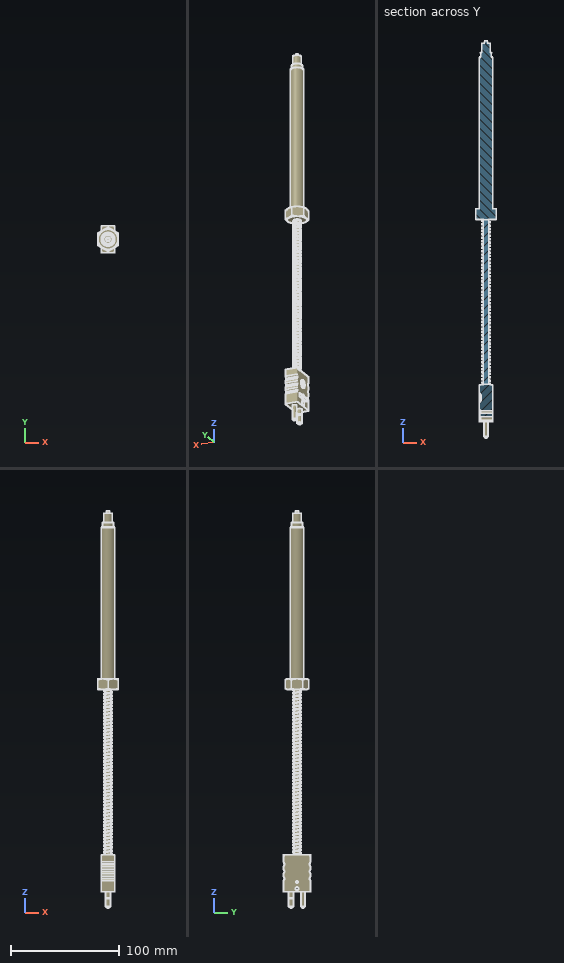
import cadquery as cq
import math


hose_length = 152.4
hose_core_radius = 2.9
hose_rib_radius = 3.97
hose_turns = 49
hose_pitch = hose_length / hose_turns
rib_width = 0.75
rib_phase = 0.47
rib_root_overlap = 0.3

nut_across_flats = 19.05
nut_height = 10.0
tube_length = 140.3
tube_radius = 6.35
collar_radius = 5.1
collar_length = 4.3
tip_radius = 4.05
tip_length = 8.4
nipple_radius = 1.9
nipple_top_radius = 1.2
nipple_length = 2.3
nut_chamfer_angle = 30
nut_rim_inset = 0.3
step_chamfer = 0.7

plug_thickness = 12.7
plug_width = 25.22
plug_height = 34.3
plug_edge_radius = 1.27
grip_count = 3
first_grip_below_top = 8.9
grip_pitch = 6.63
grip_half_height = 2.1
grip_depth = 1.0
grip_floor = 0.5

screw_depth_below_top = 12.0
screw_radius = 3.9
screw_recess = 0.8
cross_length = 5.0
cross_width = 0.6
cross_depth = 0.8

window_depth_below_top = 25.3
window_width = 15.2
window_height = 3.5
window_depth = 0.4
cone_holes = [(25.3, 2.7, 0.8), (31.4, 2.5, 1.4)]
cone_depth = 1.5

prong_spacing = 11.0
prong_length = 13.46
prong_nose_length = 1.6
prong_nose_radius = 0.5
thin_prong_radius = 2.0
thick_prong_radius = 2.4
groove_below_plug = 5.9
groove_width = 1.1
groove_radial_depth = 0.3


def make_hose():
    """Solid core with a right-handed square rib wound around it."""
    core = cq.Workplane("XY").circle(hose_core_radius).extrude(hose_length)
    inner = hose_core_radius - rib_root_overlap
    path = cq.Wire.makeHelix(hose_pitch, hose_length + 2 * hose_pitch, hose_core_radius)
    rib = (
        cq.Workplane("XZ")
        .moveTo(inner, -rib_width / 2)
        .lineTo(hose_rib_radius, -rib_width / 2)
        .lineTo(hose_rib_radius, rib_width / 2)
        .lineTo(inner, rib_width / 2)
        .close()
        .sweep(cq.Workplane(obj=path), isFrenet=True)
        .translate((0, 0, rib_phase - hose_pitch))
    )
    envelope = cq.Workplane("XY").circle(2 * hose_rib_radius).extrude(hose_length)
    return core.union(rib.intersect(envelope))


def make_probe():
    """Bevelled hex nut and stepped round shaft in one piece."""
    nut_bottom = hose_length
    nut_top = nut_bottom + nut_height
    corner_radius = nut_across_flats / math.sqrt(3)
    rim_radius = nut_across_flats / 2 - nut_rim_inset
    drop = (corner_radius - rim_radius) * math.tan(math.radians(nut_chamfer_angle))
    hexagon = (
        cq.Workplane("XY", origin=(0, 0, nut_bottom))
        .polygon(6, 2 * corner_radius)
        .extrude(nut_height)
        .rotate((0, 0, 0), (0, 0, 1), 30)
    )
    bevel = (
        cq.Workplane("XZ")
        .polyline([
            (0, nut_bottom), (rim_radius, nut_bottom), (corner_radius, nut_bottom + drop),
            (corner_radius, nut_top - drop), (rim_radius, nut_top), (0, nut_top),
        ])
        .close()
        .revolve(360, (0, 0, 0), (0, 1, 0))
    )
    tube_top = nut_top + tube_length
    collar_top = tube_top + collar_length
    tip_top = collar_top + tip_length
    nipple_top = tip_top + nipple_length
    shaft = (
        cq.Workplane("XZ")
        .polyline([
            (0, nut_bottom), (tube_radius, nut_bottom),
            (tube_radius, tube_top - step_chamfer), (tube_radius - step_chamfer, tube_top),
            (collar_radius, tube_top),
            (collar_radius, collar_top - step_chamfer), (collar_radius - step_chamfer, collar_top),
            (tip_radius, collar_top), (tip_radius, tip_top),
            (nipple_radius, tip_top), (nipple_top_radius, nipple_top), (0, nipple_top),
        ])
        .close()
        .revolve(360, (0, 0, 0), (0, 1, 0))
    )
    return hexagon.intersect(bevel).union(shaft)


def face_prism(z, depth):
    """Workplane at the given depth inside the -X face of the plug, facing outwards."""
    return cq.Workplane("YZ", origin=(-plug_thickness / 2 + depth, 0, z)).workplane(invert=True)


def cone_hole(z, mouth_radius, bore_radius):
    """Cone sunk into the -X face, running into a bore right through the plug."""
    return (
        cq.Workplane("XY")
        .polyline([
            (-plug_thickness / 2, 0), (-plug_thickness / 2, mouth_radius),
            (-plug_thickness / 2 + cone_depth, bore_radius), (plug_thickness / 2, bore_radius),
            (plug_thickness / 2, 0),
        ])
        .close()
        .revolve(360, (0, 0, 0), (1, 0, 0))
        .translate((0, 0, z))
    )


def make_prong(y, radius):
    """Round prong with a cone nose, hanging from the bottom of the plug."""
    shoulder = -plug_height - prong_length
    return (
        cq.Workplane("XZ")
        .polyline([
            (0, -plug_height), (radius, -plug_height), (radius, shoulder),
            (prong_nose_radius, shoulder - prong_nose_length), (0, shoulder - prong_nose_length),
        ])
        .close()
        .revolve(360, (0, 0, 0), (0, 1, 0))
        .translate((0, y, 0))
    )


def make_thin_prong():
    return make_prong(prong_spacing / 2, thin_prong_radius)


def make_thick_prong():
    """Prong with a shallow groove turned around it."""
    groove_bottom = -plug_height - groove_below_plug - groove_width / 2
    prong = make_prong(-prong_spacing / 2, thick_prong_radius)
    groove = (
        cq.Workplane("XY", origin=(0, -prong_spacing / 2, groove_bottom))
        .circle(thick_prong_radius)
        .circle(thick_prong_radius - groove_radial_depth)
        .extrude(groove_width)
    )
    return prong.cut(groove)


def make_plug():
    """Plug body with finger grips at both Y sides, and its two prongs."""
    half_width = plug_width / 2
    left = [(half_width, 0)]
    for i in range(grip_count):
        grip_z = -first_grip_below_top - i * grip_pitch
        left += [
            (half_width, grip_z + grip_half_height),
            (half_width - grip_depth, grip_z + grip_floor / 2),
            (half_width - grip_depth, grip_z - grip_floor / 2),
            (half_width, grip_z - grip_half_height),
        ]
    left.append((half_width, -plug_height))
    right = [(-y, z) for y, z in reversed(left)]
    body = (
        cq.Workplane("YZ", origin=(-plug_thickness / 2, 0, 0))
        .polyline(left + right).close().extrude(plug_thickness)
    )
    rim = body.faces("<X or >X").edges("not <Z")
    body = rim.fillet(plug_edge_radius)

    screw_z = -screw_depth_below_top
    body = body.cut(face_prism(screw_z, screw_recess).circle(screw_radius).extrude(screw_recess))
    cross = face_prism(screw_z, screw_recess + cross_depth)
    for length, height in ((cross_length, cross_width), (cross_width, cross_length)):
        body = body.cut(cross.rect(length, height).extrude(screw_recess + cross_depth))

    window = face_prism(-window_depth_below_top, window_depth)
    body = body.cut(window.rect(window_width, window_height).extrude(window_depth))

    for depth_below_top, mouth_radius, bore_radius in cone_holes:
        body = body.cut(cone_hole(-depth_below_top, mouth_radius, bore_radius))

    return body.union(make_thin_prong()).union(make_thick_prong())


hose = make_hose()
probe = make_probe()
plug = make_plug()
result = cq.Compound.makeCompound([hose.val(), probe.val(), plug.val()])